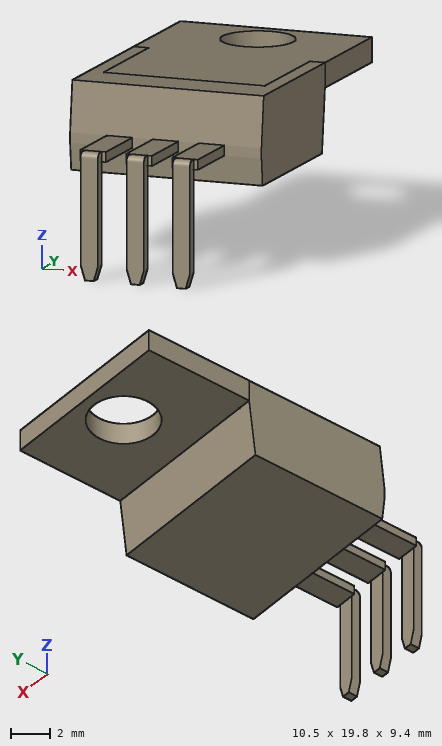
import cadquery as cq


WIDTH = 10.54
TAB_THICKNESS = 1.32
TAB_BACK = 15.5
TAB_NARROW_WIDTH = 8.88
TAB_FRONT = 2.59
HOLE_DIAMETER = 3.9
HOLE_FROM_BACK = 2.57

HOUSING_BACK = 8.92
HOUSING_HEIGHT = 4.69
FRONT_TOP_INSET = 0.32
FRONT_BOTTOM_INSET = 0.15
BACK_BOTTOM_INSET = 0.42

LEAD_PITCH = 2.53
LEAD_POSITIONS = (-LEAD_PITCH, 0, LEAD_PITCH)
LEAD_TOP = -2.69
SHOULDER_THICKNESS = 0.53
SHOULDER_BOTTOM = LEAD_TOP - SHOULDER_THICKNESS
SHOULDER_WIDTH = 1.4
SHOULDER_LENGTH = 3.72
POST_WIDTH = 0.95
POST_DEPTH = 0.55
POST_BOTTOM = -9.4
BEND_RADIUS = 0.3
TIP_WIDTH = 0.47
TIP_LENGTH = 0.77


def make_tab():
    """Drilled plate, full width behind the housing and narrower where it is embedded."""
    half_width = WIDTH / 2
    half_narrow = TAB_NARROW_WIDTH / 2
    plate = (
        cq.Workplane("XY")
        .moveTo(-half_narrow, TAB_FRONT)
        .lineTo(half_narrow, TAB_FRONT)
        .lineTo(half_narrow, HOUSING_BACK)
        .lineTo(half_width, HOUSING_BACK)
        .lineTo(half_width, TAB_BACK)
        .lineTo(-half_width, TAB_BACK)
        .lineTo(-half_width, HOUSING_BACK)
        .lineTo(-half_narrow, HOUSING_BACK)
        .close()
        .extrude(-TAB_THICKNESS)
    )
    hole = (
        cq.Workplane("XY")
        .center(0, TAB_BACK - HOLE_FROM_BACK)
        .circle(HOLE_DIAMETER / 2)
        .extrude(-TAB_THICKNESS)
    )
    return plate.cut(hole)


def make_housing(tab):
    """Block with drafted ends and a recess in its top that fits the tab."""
    block = (
        cq.Workplane("YZ")
        .moveTo(FRONT_TOP_INSET, 0)
        .lineTo(HOUSING_BACK, 0)
        .lineTo(HOUSING_BACK, -TAB_THICKNESS)
        .lineTo(HOUSING_BACK - BACK_BOTTOM_INSET, -HOUSING_HEIGHT)
        .lineTo(FRONT_BOTTOM_INSET, -HOUSING_HEIGHT)
        .lineTo(0, SHOULDER_BOTTOM)
        .lineTo(0, LEAD_TOP)
        .close()
        .extrude(WIDTH / 2, both=True)
    )
    return block.cut(tab)


def make_shoulder(x):
    """Flat bar that butts against the front parting face."""
    return (
        cq.Workplane("XY", origin=(x, -SHOULDER_LENGTH / 2, SHOULDER_BOTTOM))
        .rect(SHOULDER_WIDTH, SHOULDER_LENGTH)
        .extrude(SHOULDER_THICKNESS)
    )


def make_post(x):
    """Vertical pin with a tapered tip and a rounded outer edge at its top."""
    half_width = POST_WIDTH / 2
    half_tip = TIP_WIDTH / 2
    taper_start = POST_BOTTOM + TIP_LENGTH
    return (
        cq.Workplane("XZ", origin=(x, -SHOULDER_LENGTH, 0))
        .moveTo(-half_width, LEAD_TOP)
        .lineTo(half_width, LEAD_TOP)
        .lineTo(half_width, taper_start)
        .lineTo(half_tip, POST_BOTTOM)
        .lineTo(-half_tip, POST_BOTTOM)
        .lineTo(-half_width, taper_start)
        .close()
        .extrude(POST_DEPTH)
        .edges(">Z and <Y")
        .fillet(BEND_RADIUS)
    )


tab = make_tab()
housing = make_housing(tab)
shoulders = [make_shoulder(x).val() for x in LEAD_POSITIONS]
posts = [make_post(x).val() for x in LEAD_POSITIONS]

result = cq.Compound.makeCompound([tab.val(), housing.val(), *shoulders, *posts])